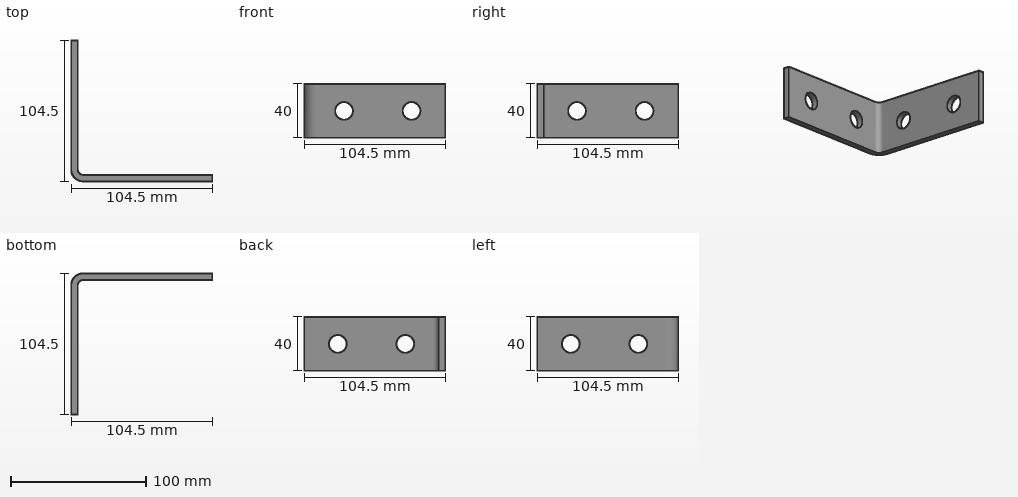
import cadquery as cq

leg_length = 104.5
height = 40.0
thickness = 5.0
outer_bend_radius = 9.0
hole_diameter = 13.0
hole_end_distance = 25.0
hole_spacing = 50.0

inner_bend_radius = outer_bend_radius - thickness
hole_positions = [
    leg_length - hole_end_distance,
    leg_length - hole_end_distance - hole_spacing,
]


def make_angle():
    """Two equal legs along +X and +Y, joined by a rounded bend at the origin."""
    blank = cq.Workplane("XY").box(leg_length, leg_length, height, centered=False)
    blank = blank.edges("|Z and <X and <Y").fillet(outer_bend_radius)
    inside = (
        cq.Workplane("XY")
        .box(leg_length, leg_length, height, centered=False)
        .edges("|Z and <X and <Y")
        .fillet(inner_bend_radius)
        .translate((thickness, thickness, 0))
    )
    return blank.cut(inside)


def hole_cutter(plane, depth):
    """Cylinders through one leg, at mid height."""
    centers = [(position, height / 2) for position in hole_positions]
    return cq.Workplane(plane).pushPoints(centers).circle(hole_diameter / 2).extrude(depth)


x_leg_holes = hole_cutter("XZ", -thickness)
y_leg_holes = hole_cutter("YZ", thickness)

result = make_angle().cut(x_leg_holes).cut(y_leg_holes)